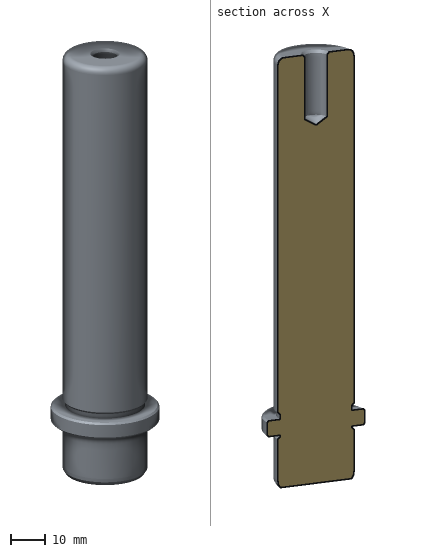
import cadquery as cq
import math

length = 131.0
shaft_radius = 12.51
top_round = 2.1

flange_radius = 16.0
flange_bottom = 16.0
flange_top = 21.0
flange_chamfer = 0.5

neck_radius = 11.8
upper_groove_height = 2.1
lower_groove_height = 1.0
groove_bevel = shaft_radius - neck_radius

bottom_bevel_height = 1.2
bottom_bevel_width = 0.8
lead_taper = 0.07
lead_height = 2.2
lead_radius = shaft_radius - lead_taper

hole_radius = 3.5
hole_depth = 19.6
countersink_radius = 4.3
countersink_depth = 0.8
drill_tip_angle = 118.0


def make_body():
    """Revolve the stepped outline of the pin about Z."""
    upper_groove_top = flange_top + upper_groove_height
    lower_groove_bottom = flange_bottom - lower_groove_height
    flange_face_radius = flange_radius - flange_chamfer
    round_center = (shaft_radius - top_round, length - top_round)
    round_middle = (
        round_center[0] + top_round * math.cos(math.pi / 4),
        round_center[1] + top_round * math.sin(math.pi / 4),
    )
    return (
        cq.Workplane("XZ")
        .moveTo(0, 0)
        .lineTo(lead_radius - bottom_bevel_width, 0)
        .lineTo(lead_radius, bottom_bevel_height)
        .lineTo(shaft_radius, lead_height)
        .lineTo(shaft_radius, lower_groove_bottom)
        .lineTo(neck_radius, lower_groove_bottom + groove_bevel)
        .lineTo(neck_radius, flange_bottom)
        .lineTo(flange_face_radius, flange_bottom)
        .lineTo(flange_radius, flange_bottom + flange_chamfer)
        .lineTo(flange_radius, flange_top - flange_chamfer)
        .lineTo(flange_face_radius, flange_top)
        .lineTo(neck_radius, flange_top)
        .lineTo(neck_radius, upper_groove_top - groove_bevel)
        .lineTo(shaft_radius, upper_groove_top)
        .lineTo(shaft_radius, round_center[1])
        .threePointArc(round_middle, (round_center[0], length))
        .lineTo(0, length)
        .close()
        .revolve(360, (0, 0), (0, 1))
    )


def make_center_hole():
    """Revolve the countersunk blind hole with its conical drill tip."""
    tip_height = hole_radius / math.tan(math.radians(drill_tip_angle / 2))
    hole_floor = length - hole_depth
    return (
        cq.Workplane("XZ")
        .moveTo(0, length)
        .lineTo(countersink_radius, length)
        .lineTo(hole_radius, length - countersink_depth)
        .lineTo(hole_radius, hole_floor)
        .lineTo(0, hole_floor - tip_height)
        .close()
        .revolve(360, (0, 0), (0, 1))
    )


result = make_body().cut(make_center_hole())